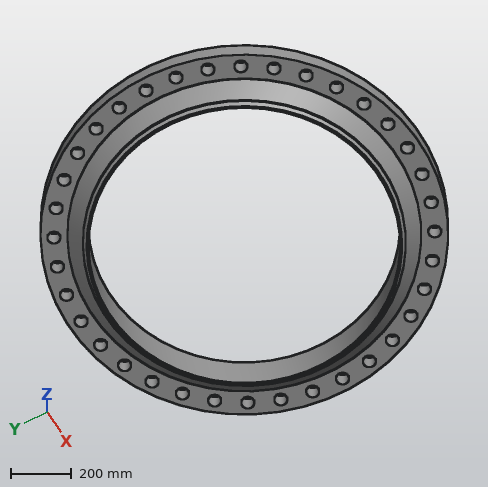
import cadquery as cq

outer_radius = 673.0
total_height = 144.0
bore_radius = 514.0

face_radius = 596.0
face_height = 1.0
flange_thickness = 69.0

hub_top_radius = 584.0
hub_end_radius = 533.0
hub_neck_height = 4.0
hub_slope_height = hub_top_radius - hub_end_radius
weld_land_width = 7.0
bevel_height = 13.0

bolt_count = 36
bolt_circle_radius = 629.0
bolt_hole_diameter = 43.0

flange_bottom = total_height - flange_thickness
flange_top = total_height - face_height
hub_slope_top = flange_bottom - hub_neck_height
hub_slope_bottom = hub_slope_top - hub_slope_height


def make_ring():
    """Revolve the flange and hub cross-section around Z."""
    profile = [
        (bore_radius, 0),
        (bore_radius + weld_land_width, 0),
        (hub_end_radius, bevel_height),
        (hub_end_radius, hub_slope_bottom),
        (hub_top_radius, hub_slope_top),
        (hub_top_radius, flange_bottom),
        (outer_radius, flange_bottom),
        (outer_radius, flange_top),
        (face_radius, flange_top),
        (face_radius, total_height),
        (bore_radius, total_height),
    ]
    section = cq.Workplane("XZ").polyline(profile).close()
    return section.revolve(360, (0, 0, 0), (0, 1, 0))


def make_bolt_holes():
    """Cylinders that cut the ring of bolt holes, the first one on +X."""
    return (
        cq.Workplane("XY")
        .polarArray(bolt_circle_radius, 0, 360, bolt_count)
        .circle(bolt_hole_diameter / 2)
        .extrude(total_height)
    )


result = make_ring().cut(make_bolt_holes())